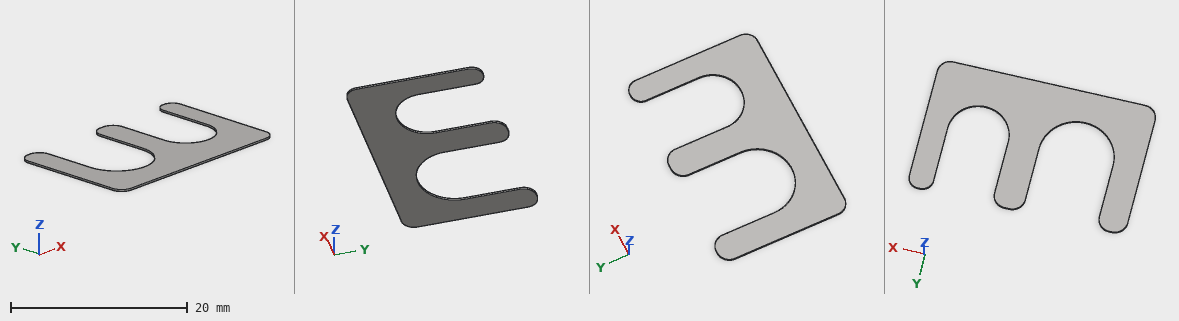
import cadquery as cq

length = 25.4
depth = 16.0
thickness = 0.25

left_finger = 3.3
middle_finger = 3.58
right_finger = 2.82
wide_slot = 8.64
narrow_slot = length - left_finger - wide_slot - middle_finger - right_finger

slot_center_y = depth / 2
corner_radius = 1.5
right_tip_radius = 1.3

wide_slot_x = left_finger + wide_slot / 2
narrow_slot_x = length - right_finger - narrow_slot / 2


def slot_cutter(center_x, width):
    """Round-bottomed slot, open at the back edge of the plate."""
    straight_depth = depth - slot_center_y
    straight = (
        cq.Workplane("XY")
        .center(center_x, slot_center_y + straight_depth / 2)
        .rect(width, straight_depth)
        .extrude(thickness)
    )
    bottom = (
        cq.Workplane("XY")
        .center(center_x, slot_center_y)
        .circle(width / 2)
        .extrude(thickness)
    )
    return straight.union(bottom)


plate = cq.Workplane("XY").box(length, depth, thickness, centered=False)
plate = plate.cut(slot_cutter(wide_slot_x, wide_slot))
plate = plate.cut(slot_cutter(narrow_slot_x, narrow_slot))

plate = plate.faces("<Y").edges("|Z").fillet(corner_radius)

tip_radii = [corner_radius, corner_radius, right_tip_radius]
for finger, tip_radius in enumerate(tip_radii):
    tip_faces = plate.faces(">Y").sort(lambda face: face.Center().x)
    plate = tip_faces[finger].edges("|Z").fillet(tip_radius)

result = plate